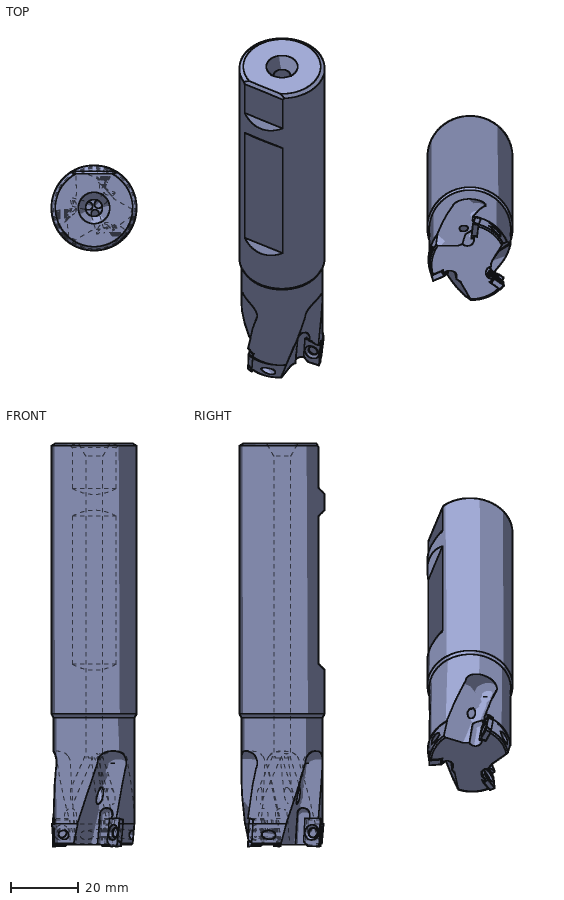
import cadquery as cq
import math

LENGTH = 119.7
SHANK_RADIUS = 12.7
NECK_RADIUS = 12.1
SHANK_BOTTOM = 39.4
NECK_TOP = 38.3
END_CHAMFER_RADIAL = 1.2
END_CHAMFER_AXIAL = 0.7

FLAT_OFFSET = 10.9
FLAT_BOTTOM = 54.2
RIDGE_BOTTOM = 98.2
RIDGE_TOP = 106.4
FLAT_DEPTH = SHANK_RADIUS - FLAT_OFFSET

BORE_RADIUS = 2.5
BORE_BOTTOM = 26.3
CENTRE_RADIUS = 4.7
CENTRE_HALF_ANGLE = 30
CENTRE_DEPTH = (CENTRE_RADIUS - BORE_RADIUS) / math.tan(math.radians(CENTRE_HALF_ANGLE))
COOLANT_RADIUS = 1.2
COOLANT_START = (1.2, -0.5, 27.5)
COOLANT_END = (7.8, -2.2, 12.5)

STATION_ANGLES = [60, 180, 300]
STATION_PITCH = 360 / len(STATION_ANGLES)
HEAD_BOTTOM = 0.5
LAND_TOP = 6.7
LAND_TOP_RADIUS = 12.2
LAND_TAPER = 5
LAND_CENTRE = (0.5, -0.5)
LAND_CHAMFER = 0.5
LAND_MIDDLE_ANGLE = 10

FLUTE_RADIUS = 3.6
FLUTE_TOP = 24.8
FLUTE_TOP_CENTRE = (10.7, 1.1)
FLUTE_TOP_WALL_ANGLE = -52
FLUTE_BOTTOM_CENTRE = (8.9, -4.4)
FLUTE_BOTTOM_WALL_ANGLE = -90
FLUTE_ROOT_END_ANGLE = 65
FLUTE_REACH = 14.4

INSERT_WIDTH = 5.0
INSERT_HEIGHT = 8.4
INSERT_THICKNESS = 1.7
INSERT_TAPER = 7
INSERT_BEVEL = 1.4
INSERT_CENTRE = (9.7, 1.0, 4.2)
AXIAL_TILT = -6
RADIAL_TILT = 6
SCREW_RADIUS = 1.3
RECESS_RADIUS = 2.3
RECESS_DEPTH = 0.7
SOCKET_RADIUS = 1.4
SOCKET_DEPTH = 1.1
SCREW_HOLE_LENGTH = 14.4
POCKET_FRONT = 3.6
POCKET_OVERRUN = 2.4
RELIEF_RADIUS = 1.9
RELIEF_INSET = 0.1
RELIEF_ADVANCE = 1.1
RELIEF_RISE = 1.1


def at_station(shape, angle):
    """Turn a shape laid out for one cutting station to its place around the axis."""
    return shape.rotate((0, 0, 0), (0, 0, 1), angle)


def place_insert(shape):
    """Tilt and move a shape whose rake face centre is the origin and depth runs along +Y."""
    shape = shape.rotate((0, 0, 0), (0, 0, 1), RADIAL_TILT)
    shape = shape.rotate((0, 0, 0), (1, 0, 0), AXIAL_TILT)
    return shape.translate(INSERT_CENTRE)


def rake_plane():
    """Plane of the rake face: local x is outward, local y is down, the normal runs into the insert."""
    return cq.Workplane(cq.Plane(origin=(0, 0, 0), xDir=(1, 0, 0), normal=(0, 1, 0)))


def insert_outline():
    """Rectangle of the rake face with its lower inner corner bevelled."""
    side = INSERT_WIDTH / 2
    end = INSERT_HEIGHT / 2
    return rake_plane().polyline([
        (-side, -end),
        (side, -end),
        (side, end),
        (-side + INSERT_BEVEL, end),
        (-side, end - INSERT_BEVEL),
    ]).close()


def insert_blank():
    """Tapered insert in its seat, before its rake face is sunk."""
    blank = insert_outline().extrude(INSERT_THICKNESS, taper=INSERT_TAPER)
    return place_insert(blank)


def screw_hole():
    """Hole behind the insert, square to the rake face."""
    return place_insert(rake_plane().circle(SCREW_RADIUS).extrude(SCREW_HOLE_LENGTH))


def make_insert():
    """Insert with a conical recess and a blind socket sunk in its rake face."""
    recess = cq.Workplane(cq.Solid.makeCone(
        RECESS_RADIUS, SOCKET_RADIUS, RECESS_DEPTH, pnt=cq.Vector(0, 0, 0), dir=cq.Vector(0, 1, 0)
    ))
    socket = rake_plane().circle(SOCKET_RADIUS).extrude(SOCKET_DEPTH)
    return insert_blank().cut(place_insert(recess.union(socket)))


def insert_pocket():
    """Seat of the insert, the open space in front of it and the relief of its inner corner."""
    front = (
        rake_plane()
        .center(POCKET_OVERRUN / 2, POCKET_OVERRUN / 2)
        .rect(INSERT_WIDTH + POCKET_OVERRUN, INSERT_HEIGHT + POCKET_OVERRUN)
        .extrude(-POCKET_FRONT)
    )
    relief_x = -INSERT_WIDTH / 2 - RELIEF_INSET
    relief_top = INSERT_HEIGHT / 2 + RELIEF_RISE
    relief = (
        cq.Workplane("XY", origin=(relief_x, -RELIEF_ADVANCE, -INSERT_HEIGHT))
        .circle(RELIEF_RADIUS)
        .extrude(INSERT_HEIGHT + relief_top)
        .union(cq.Workplane("XY", origin=(relief_x, -RELIEF_ADVANCE, relief_top)).sphere(RELIEF_RADIUS))
    )
    return insert_blank().union(place_insert(front)).union(place_insert(relief))


def polar(centre, distance, angle):
    """Point at a distance and direction from a centre."""
    turn = math.radians(angle)
    return (centre[0] + distance * math.cos(turn), centre[1] + distance * math.sin(turn))


def flute_section(centre, wall_angle, height):
    """Wire of the flute at one height: open wall, rounded root and the wall that holds the insert."""
    root_start = polar(centre, FLUTE_RADIUS, wall_angle - 90)
    root_end = polar(centre, FLUTE_RADIUS, FLUTE_ROOT_END_ANGLE)
    root_middle = polar(centre, FLUTE_RADIUS, (wall_angle + 270 + FLUTE_ROOT_END_ANGLE) / 2)
    return (
        cq.Workplane("XY", origin=(0, 0, height))
        .moveTo(*polar(root_start, FLUTE_REACH, wall_angle))
        .lineTo(*root_start)
        .threePointArc(root_middle, root_end)
        .lineTo(*polar(root_end, FLUTE_REACH, 0))
        .close()
        .val()
    )


def flute():
    """Twisted channel in front of the insert, with a rounded upper end."""
    bottom = flute_section(FLUTE_BOTTOM_CENTRE, FLUTE_BOTTOM_WALL_ANGLE, 0)
    top = flute_section(FLUTE_TOP_CENTRE, FLUTE_TOP_WALL_ANGLE, FLUTE_TOP)
    channel = cq.Workplane(cq.Solid.makeLoft([bottom, top], True))
    centre = cq.Vector(*FLUTE_TOP_CENTRE, FLUTE_TOP)
    end_ball = cq.Workplane("XY", origin=centre.toTuple()).sphere(FLUTE_RADIUS)
    wall_direction = cq.Vector(*polar((0, 0), 1, FLUTE_TOP_WALL_ANGLE))
    end_round = cq.Workplane(cq.Solid.makeCylinder(FLUTE_RADIUS, FLUTE_REACH, centre, wall_direction))
    return channel.union(end_ball).union(end_round)


def land():
    """Sector of the eccentric cone that forms the clearance behind one insert."""
    half_pitch = STATION_PITCH / 2
    sector = (
        cq.Workplane("XY")
        .polyline([
            (0, 0),
            polar((0, 0), 2 * SHANK_RADIUS, LAND_MIDDLE_ANGLE - half_pitch),
            polar((0, 0), 4 * SHANK_RADIUS, LAND_MIDDLE_ANGLE),
            polar((0, 0), 2 * SHANK_RADIUS, LAND_MIDDLE_ANGLE + half_pitch),
        ])
        .close()
        .extrude(LAND_TOP)
    )
    return (
        cq.Workplane("XY", origin=(*LAND_CENTRE, LAND_TOP))
        .circle(LAND_TOP_RADIUS)
        .extrude(HEAD_BOTTOM - LAND_TOP, taper=LAND_TAPER)
        .faces("<Z")
        .chamfer(LAND_CHAMFER)
        .intersect(sector)
    )


def coolant_hole():
    """Slanted hole from the bottom of the bore into the flute."""
    start = cq.Vector(*COOLANT_START)
    run = cq.Vector(*COOLANT_END) - start
    return cq.Workplane(cq.Solid.makeCylinder(COOLANT_RADIUS, run.Length, start, run))


def clamping_flat():
    """Material removed beside the shank: two flats with 45 degree ends around a ridge."""
    profile = (
        cq.Workplane("YZ", origin=(-SHANK_RADIUS, 0, 0))
        .polyline([
            (SHANK_RADIUS, FLAT_BOTTOM - FLAT_DEPTH),
            (FLAT_OFFSET, FLAT_BOTTOM),
            (FLAT_OFFSET, RIDGE_BOTTOM),
            (SHANK_RADIUS, RIDGE_BOTTOM + FLAT_DEPTH),
            (SHANK_RADIUS, RIDGE_TOP - FLAT_DEPTH),
            (FLAT_OFFSET, RIDGE_TOP),
            (FLAT_OFFSET, LENGTH),
            (2 * SHANK_RADIUS, LENGTH),
            (2 * SHANK_RADIUS, FLAT_BOTTOM - FLAT_DEPTH),
        ])
        .close()
    )
    return profile.extrude(2 * SHANK_RADIUS)


def shank():
    """Shank and neck with the clamping flat, end chamfer and centred coolant bore."""
    stock = (
        cq.Workplane("XZ")
        .polyline([
            (0, LAND_TOP),
            (NECK_RADIUS, LAND_TOP),
            (NECK_RADIUS, NECK_TOP),
            (SHANK_RADIUS, SHANK_BOTTOM),
            (SHANK_RADIUS, LENGTH),
            (0, LENGTH),
        ])
        .close()
        .revolve(360, (0, 0, 0), (0, 1, 0))
    )
    chamfered = stock.cut(clamping_flat()).faces(">Z").chamfer(END_CHAMFER_AXIAL, END_CHAMFER_RADIAL)
    bore = (
        cq.Workplane("XZ")
        .polyline([
            (0, BORE_BOTTOM),
            (BORE_RADIUS, BORE_BOTTOM),
            (BORE_RADIUS, LENGTH - CENTRE_DEPTH),
            (CENTRE_RADIUS, LENGTH),
            (0, LENGTH),
        ])
        .close()
        .revolve(360, (0, 0, 0), (0, 1, 0))
    )
    return chamfered.cut(bore)


def make_cutter_body():
    """Cutter body with a land, flute, pocket and holes at every station."""
    body = shank()
    for angle in STATION_ANGLES:
        body = body.union(at_station(land(), angle))
    for angle in STATION_ANGLES:
        for removed in [flute(), insert_pocket(), screw_hole(), coolant_hole()]:
            body = body.cut(at_station(removed, angle))
    return body


cutter_body = make_cutter_body()
inserts = [at_station(make_insert(), angle) for angle in STATION_ANGLES]

result = cq.Compound.makeCompound([cutter_body.val(), *[insert.val() for insert in inserts]])